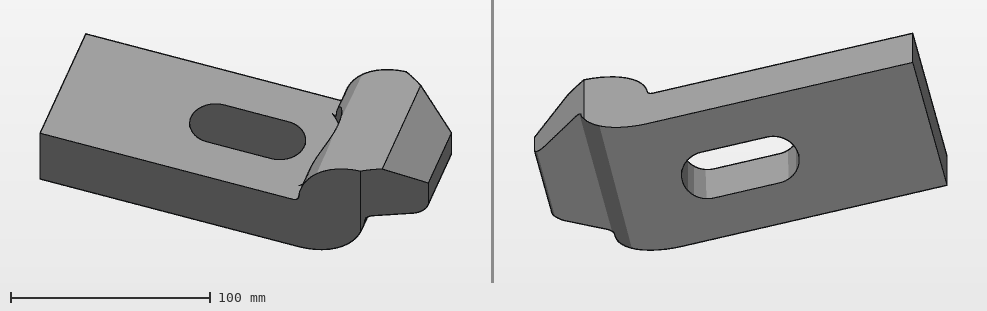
import cadquery as cq
import math

length = 200.0
width = 70.0
bar_height = 35.0

bend_radius = bar_height
lower_bend_x = 137.0
upper_bend_x = lower_bend_x + bend_radius
root_fillet = 3.0

slope_start_x = 179.5
slope_end_z = 53.5
nose_underside_angle = 8.0
nose_tip_fillet = 6.0
nose_taper_length = 30.0
nose_taper_angle = 30.0

slot_start_x = 68.0
slot_end_x = 128.0
slot_width = 26.0

clearance_radius = 33.0
clearance_x = 113.0


def bend_point(center_x, degrees):
    """Point on a neck bend, at an angle measured from +X."""
    angle = math.radians(degrees)
    return (center_x + bend_radius * math.cos(angle), bar_height + bend_radius * math.sin(angle))


def make_profile():
    """Side profile extruded symmetrically over the width."""
    slope_angle = math.degrees(math.acos((slope_start_x - upper_bend_x) / bend_radius))
    nose_length = length - upper_bend_x
    tip_z = bar_height - nose_length * math.tan(math.radians(nose_underside_angle))
    body = (
        cq.Workplane("XZ")
        .moveTo(0, 0)
        .lineTo(lower_bend_x, 0)
        .threePointArc(bend_point(lower_bend_x, -45), bend_point(lower_bend_x, 0))
        .lineTo(length, tip_z)
        .lineTo(length, slope_end_z)
        .lineTo(*bend_point(upper_bend_x, slope_angle))
        .threePointArc(bend_point(upper_bend_x, 135), bend_point(upper_bend_x, 180))
        .lineTo(0, bar_height)
        .close()
        .extrude(width / 2, both=True)
    )
    for root_x in (lower_bend_x, upper_bend_x):
        root = cq.selectors.NearestToPointSelector((root_x, 0, bar_height))
        body = body.edges("|Y").edges(root).fillet(root_fillet)
    tip = cq.selectors.NearestToPointSelector((length, 0, tip_z))
    return body.edges("|Y").edges(tip).fillet(nose_tip_fillet)


def make_plan():
    """Full-height plan outline with the nose tapered on both sides."""
    taper_x = length - nose_taper_length
    tip_half_width = width / 2 - nose_taper_length * math.tan(math.radians(nose_taper_angle))
    return (
        cq.Workplane("XY")
        .moveTo(0, -width / 2)
        .lineTo(taper_x, -width / 2)
        .lineTo(length, -tip_half_width)
        .lineTo(length, tip_half_width)
        .lineTo(taper_x, width / 2)
        .lineTo(0, width / 2)
        .close()
        .extrude(bar_height + bend_radius)
    )


def make_slot():
    """Stud slot through the full bar height."""
    return (
        cq.Workplane("XY")
        .center((slot_start_x + slot_end_x) / 2, 0)
        .slot2D(slot_end_x - slot_start_x, slot_width)
        .extrude(bar_height)
    )


def make_clearance():
    """Upright cylinder standing on the top face of the bar."""
    return (
        cq.Workplane("XY", origin=(clearance_x, 0, bar_height))
        .circle(clearance_radius)
        .extrude(bend_radius)
    )


result = make_profile().intersect(make_plan()).cut(make_slot()).cut(make_clearance())